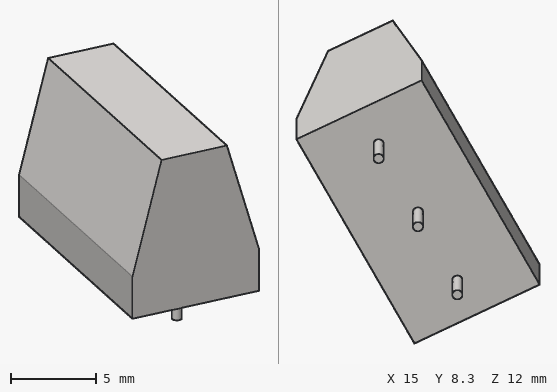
import cadquery as cq

length = 15.0
depth = 8.3
body_height = 10.0
shoulder_height = 2.78
front_inset = 1.9
back_inset = 2.1

total_height = 12.0
pin_length = total_height - body_height
pin_diameter = 0.6
pin_count = 3
pin_pitch = length / pin_count


def make_body():
    """Extrude the end profile along X, with the base on Z = 0."""
    front = -depth / 2
    back = depth / 2
    profile = [
        (front, 0),
        (back, 0),
        (back, shoulder_height),
        (back - back_inset, body_height),
        (front + front_inset, body_height),
        (front, shoulder_height),
    ]
    return cq.Workplane("YZ").polyline(profile).close().extrude(length / 2, both=True)


def make_pins():
    """Round pins hanging from the base, centred on the body."""
    return (
        cq.Workplane("XY")
        .rarray(pin_pitch, 0.15, pin_count, 1)
        .circle(pin_diameter / 2)
        .extrude(-pin_length)
    )


result = make_body().union(make_pins())